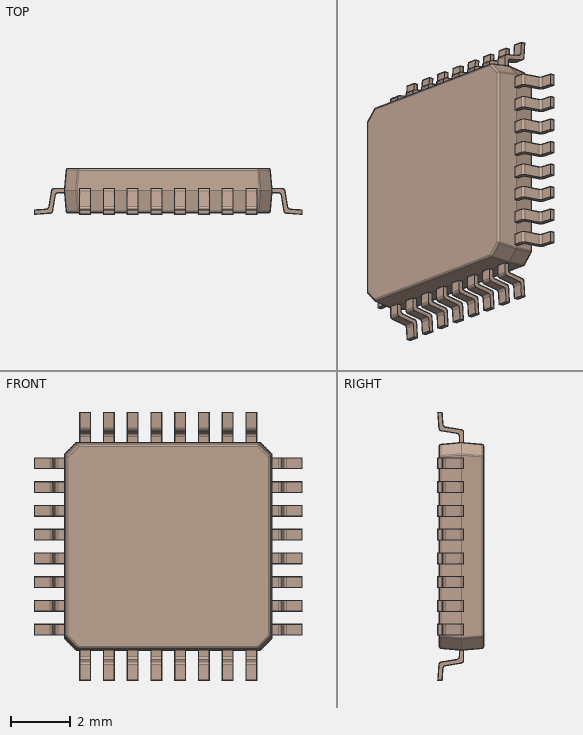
import cadquery as cq
import math


LEAD_SPAN = 9.02
OVERALL_HEIGHT = 1.55

BODY_SIZE = 7.0
BODY_THICKNESS = 1.5
CORNER_CHAMFER = 0.4
DRAFT_ANGLE = 5.0
BODY_EDGE_RADIUS = 0.07

LEADS_PER_SIDE = 8
LEAD_PITCH = 0.8
LEAD_WIDTH = 0.37
LEAD_THICKNESS = 0.15
LEG_TILT = 9.3
FOOT_SLOPE = 4.0
BEND_RADIUS = 0.1
SHOULDER_REACH = 0.42
LEAD_EMBED = 0.3
SIDES = 4
FULL_TURN = 360.0

HALF_BODY = BODY_SIZE / 2
HALF_SPAN = LEAD_SPAN / 2
PARTING_Y = OVERALL_HEIGHT - BODY_THICKNESS / 2


def make_body_half(direction):
    """Drafted half of the body, from the parting plane toward direction * Y."""
    plane = cq.Plane(origin=(0, PARTING_Y, 0), xDir=(1, 0, 0), normal=(0, direction, 0))
    block = cq.Workplane(plane).rect(BODY_SIZE, BODY_SIZE).extrude(BODY_THICKNESS / 2, taper=DRAFT_ANGLE)
    half = block.edges("not #Y").chamfer(CORNER_CHAMFER)
    parting_face = "<Y" if direction > 0 else ">Y"
    parting_edges = half.faces(parting_face).edges().vals()
    rounded_edges = [
        edge for edge in half.edges().vals() if not any(edge.isSame(other) for other in parting_edges)
    ]
    return half.newObject(rounded_edges).fillet(BODY_EDGE_RADIUS)


def make_body():
    """Octagonal body, widest at the parting plane."""
    return make_body_half(1).union(make_body_half(-1))


def make_lead():
    """One lead on the +X side, centred on Z = 0."""
    leg_slope = math.tan(math.radians(LEG_TILT))
    foot_slope = math.tan(math.radians(FOOT_SLOPE))
    leg_width = LEAD_THICKNESS / math.cos(math.radians(LEG_TILT))
    foot_height = LEAD_THICKNESS / math.cos(math.radians(FOOT_SLOPE))

    root_x = HALF_BODY - LEAD_EMBED
    shoulder_top = PARTING_Y + LEAD_THICKNESS / 2
    shoulder_bottom = shoulder_top - LEAD_THICKNESS
    shoulder_x = HALF_BODY + SHOULDER_REACH

    def leg_meets_foot(leg_offset, tip_y):
        """Point where a leg face crosses the foot face that ends at tip_y."""
        leg_top_x = shoulder_x - leg_offset
        drop = shoulder_top - tip_y - (HALF_SPAN - leg_top_x) * foot_slope
        y = shoulder_top - drop / (1 - leg_slope * foot_slope)
        return (leg_top_x + (shoulder_top - y) * leg_slope, y)

    upper_outer = (shoulder_x, shoulder_top)
    upper_inner = (shoulder_x + LEAD_THICKNESS * leg_slope - leg_width, shoulder_bottom)
    lower_inner = leg_meets_foot(0, foot_height)
    lower_outer = leg_meets_foot(leg_width, 0)

    profile = [
        (root_x, shoulder_top),
        upper_outer,
        lower_inner,
        (HALF_SPAN, foot_height),
        (HALF_SPAN, 0),
        lower_outer,
        upper_inner,
        (root_x, shoulder_bottom),
    ]
    lead = cq.Workplane("XY").polyline(profile).close().extrude(LEAD_WIDTH / 2, both=True)
    for x, y in (upper_outer, lower_inner, lower_outer, upper_inner):
        bend_edge = cq.selectors.NearestToPointSelector((x, y, 0))
        lead = lead.edges("|Z").edges(bend_edge).fillet(BEND_RADIUS)
    return lead


def add_leads(body):
    """Join the row of leads on each of the four sides to the body."""
    lead = make_lead()
    first_z = -(LEADS_PER_SIDE - 1) * LEAD_PITCH / 2
    package = body
    for side in range(SIDES):
        turn = side * FULL_TURN / SIDES
        for index in range(LEADS_PER_SIDE):
            placed = lead.translate((0, 0, first_z + index * LEAD_PITCH))
            package = package.union(placed.rotate((0, 0, 0), (0, 1, 0), turn))
    return package


result = add_leads(make_body())